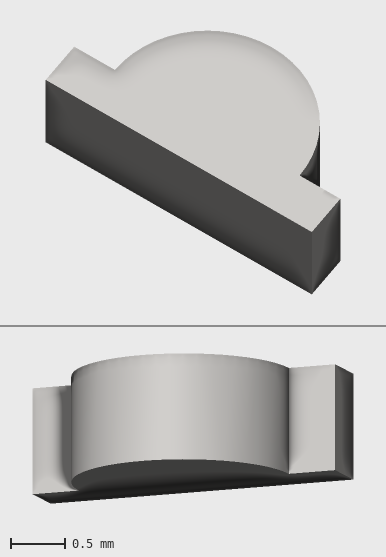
import cadquery as cq

base_length = 3.0
total_depth = 1.5
height = 1.0
dome_radius = 1.04

base_depth = total_depth - dome_radius

base = cq.Workplane("XY").box(base_length, base_depth, height, centered=(True, False, False))

dome = (
    cq.Workplane("XY")
    .moveTo(-dome_radius, base_depth)
    .threePointArc((0, total_depth), (dome_radius, base_depth))
    .close()
    .extrude(height)
)

result = base.union(dome)